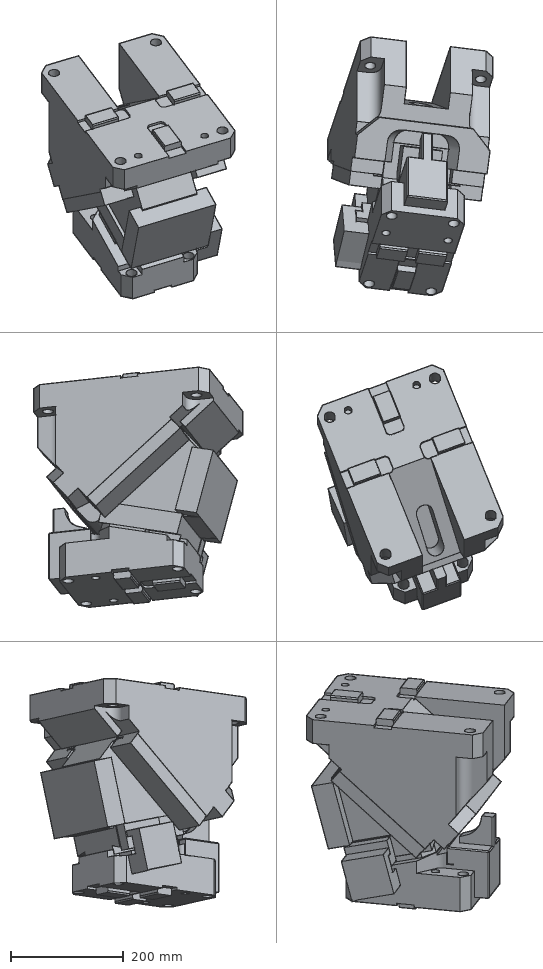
import cadquery as cq
import math


STEEP = math.radians(40)
GENTLE = math.radians(15)
TOTAL_HEIGHT = 372.0
UNLIMITED = 744.0

KEY_LENGTH = 50.5
KEY_RISE = 8.5
KEY_CHAMFER_WIDTH = 1.5
KEY_CHAMFER_HEIGHT = 3.0
KEY_SLOT_DEPTH = 4.5
KEY_SLOT_FILLET = 8.0
SIDE_KEY_WIDTH = 32.0
SIDE_KEY_EDGE_GAP = 14.5
SIDE_SLOT_LENGTH = 90.5
END_KEY_WIDTH = 33.5
END_KEY_EDGE_GAP = 20.0
END_SLOT_LENGTH = 95.2
CORNER_CHAMFER = 15.5

SLIDEWAY_X = 102.5
SLIDEWAY_Z = 138.5
SLIDEWAY_LENGTH = 205.0
CHANNEL_HALF_WIDTH = 62.5
CHANNEL_DEPTH = 59.5
WING_HALF_WIDTH = 78.0
WING_THICKNESS = 3.5

RAMP_X = 106.5
RAMP_Z = 113.5
PAD_THICKNESS = 10.0


def slideway(along, below):
    """XZ point from its position along and below the steep slideway."""
    x = SLIDEWAY_X + along * math.cos(STEEP) + below * math.sin(STEEP)
    z = SLIDEWAY_Z + along * math.sin(STEEP) - below * math.cos(STEEP)
    return x, z


def ramp(along, above):
    """XZ point from its position along and above the gentle ramp."""
    x = RAMP_X + along * math.cos(GENTLE) + above * math.sin(GENTLE)
    z = RAMP_Z - along * math.sin(GENTLE) + above * math.cos(GENTLE)
    return x, z


def box(x_range, y_range, z_range):
    """Axis-aligned box between three pairs of limits."""
    (x0, x1), (y0, y1), (z0, z1) = x_range, y_range, z_range
    return cq.Workplane("XY").box(x1 - x0, y1 - y0, z1 - z0, centered=False).translate((x0, y0, z0))


def prism(points, y_from, y_to):
    """XZ outline extruded between two Y positions."""
    return cq.Workplane("XZ", origin=(0, y_from, 0)).polyline(points).close().extrude(y_from - y_to)


def frame_box(frame, first, second, y_from, y_to):
    """Box aligned with a tilted frame (slideway or ramp)."""
    corners = [(first[0], second[0]), (first[1], second[0]), (first[1], second[1]), (first[0], second[1])]
    return prism([frame(*corner) for corner in corners], y_from, y_to)


def both_sides(shape):
    """The shape together with its mirror image across the XZ plane."""
    return shape.union(shape.mirror("XZ"))


def key_bar(length, width, height):
    """Key along X standing on z = 0, with its two long top edges chamfered."""
    half = width / 2
    top = half - KEY_CHAMFER_WIDTH
    shoulder = height - KEY_CHAMFER_HEIGHT
    outline = [(-half, 0), (half, 0), (half, shoulder), (top, height), (-top, height), (-half, shoulder)]
    return cq.Workplane("YZ").polyline(outline).close().extrude(length)


def key_slot(length, width):
    """Slot cutter along X with its floor on z = 0 and a rounded far end."""
    slot = box((0, length), (-width / 2, width / 2), (0, UNLIMITED))
    return slot.edges("|Z and >X").fillet(KEY_SLOT_FILLET)


def add_keys(body, side_x, end_x, half_width, face_z):
    """Cut key slots into the top face at face_z and stand two side keys and an end key in them."""
    floor = face_z - KEY_SLOT_DEPTH
    height = KEY_RISE + KEY_SLOT_DEPTH
    places = [
        (SIDE_KEY_WIDTH, SIDE_SLOT_LENGTH, SIDE_KEY_EDGE_GAP, 90, (side_x, -half_width, floor)),
        (SIDE_KEY_WIDTH, SIDE_SLOT_LENGTH, SIDE_KEY_EDGE_GAP, -90, (side_x, half_width, floor)),
        (END_KEY_WIDTH, END_SLOT_LENGTH, END_KEY_EDGE_GAP, 180, (end_x, 0, floor)),
    ]
    for width, slot_length, _, turn, corner in places:
        body = body.cut(key_slot(slot_length, width).rotate((0, 0, 0), (0, 0, 1), turn).translate(corner))
    for width, _, edge_gap, turn, corner in places:
        key = key_bar(KEY_LENGTH, width, height).translate((edge_gap, 0, 0))
        body = body.union(key.rotate((0, 0, 0), (0, 0, 1), turn).translate(corner))
    return body


UPPER_LENGTH = 325.0
UPPER_HALF_WIDTH = 119.97
UPPER_TOP = TOTAL_HEIGHT - KEY_RISE
FLANGE_BOTTOM = 318.5
UPPER_FRONT_BOTTOM = SLIDEWAY_Z + SLIDEWAY_X / math.tan(STEEP)
UPPER_BACK_BOTTOM = 313.0
UPPER_SIDE_KEY_X = 180.8

CORNER_POCKET_LENGTH = 45.5
CORNER_POCKET_Y = 79.5
CORNER_POCKET_FILLET = 19.5

BACK_FACE_BELOW = -5.2
BACK_RIB_START = 214.3
BACK_RIB_BELOW = 9.5

FRONT_PLATE_THICKNESS = 25.0
FRONT_PLATE_TOP = -101.5
FRONT_PLATE_BOTTOM = -25.0
FRONT_PLATE_CHAMFER = 35.0
OPENING_TOP = -84.5
OPENING_FILLET = 24.0
OPENING_HALF_WIDTH = 65.0
OPENING_INNER_HALF_WIDTH = 49.5

GIB_THICKNESS = 25.0
GIB_START = 0.7
GIB_SIDE_STEP = 0.5

TOP_SLOT_HALF_WIDTH = 39.8
TOP_SLOT_FLOOR = -130.2
OBROUND_ALONG = 59.5
OBROUND_LENGTH = 100.5
OBROUND_WIDTH = 30.5
OBROUND_DEPTH = 42.0

BOLT_RADIUS = 9.5
BOLT_END_GAP = 25.3
BOLT_Y = 100.0
DOWEL_RADIUS = 6.7
DOWEL_Y = 65.0
DOWEL_DEPTH = 18.5


def upper_body():
    """Wedge-shaped block under a full-size top flange."""
    back_face_end = (UPPER_LENGTH - slideway(0, BACK_FACE_BELOW)[0]) / math.cos(STEEP)
    wedge = [
        (0, UPPER_TOP),
        (0, UPPER_FRONT_BOTTOM),
        slideway(0, 0),
        slideway(SLIDEWAY_LENGTH, 0),
        slideway(SLIDEWAY_LENGTH, BACK_FACE_BELOW),
        slideway(back_face_end, BACK_FACE_BELOW),
        (UPPER_LENGTH, UPPER_TOP),
    ]
    body = prism(wedge, -UPPER_HALF_WIDTH, UPPER_HALF_WIDTH)
    back_rib = [
        (UPPER_LENGTH, UPPER_TOP),
        (UPPER_LENGTH, UPPER_BACK_BOTTOM),
        slideway(BACK_RIB_START, BACK_RIB_BELOW),
        slideway(BACK_RIB_START, BACK_FACE_BELOW),
    ]
    body = body.union(prism(back_rib, -CORNER_POCKET_Y, CORNER_POCKET_Y))
    pocket_y = (CORNER_POCKET_Y, UNLIMITED)
    front_pocket = box((-UNLIMITED, CORNER_POCKET_LENGTH), pocket_y, (0, FLANGE_BOTTOM))
    front_pocket = front_pocket.edges("|Z and >X and <Y").fillet(CORNER_POCKET_FILLET)
    back_pocket = box((UPPER_LENGTH - CORNER_POCKET_LENGTH, UNLIMITED), pocket_y, (0, FLANGE_BOTTOM))
    back_pocket = back_pocket.edges("|Z and <X and <Y").fillet(CORNER_POCKET_FILLET)
    body = body.cut(both_sides(front_pocket.union(back_pocket)))
    flange = box((0, UPPER_LENGTH), (-UPPER_HALF_WIDTH, UPPER_HALF_WIDTH), (FLANGE_BOTTOM, UPPER_TOP))
    trim = box((0, UPPER_LENGTH), (-UPPER_HALF_WIDTH, UPPER_HALF_WIDTH), (0, UPPER_TOP))
    return body.union(flange).intersect(trim.edges("|Z").chamfer(CORNER_CHAMFER))


def front_plane(along):
    """Workplane square to the slideway: local x runs along Y, local y points up towards the top face."""
    x, z = slideway(along, 0)
    uphill = (math.cos(STEEP), 0, math.sin(STEEP))
    return cq.Workplane(cq.Plane(origin=(x, 0, z), xDir=(0, 1, 0), normal=uphill))


def front_plate():
    """Plate across the low end, its upper corners cut off."""
    half = UPPER_HALF_WIDTH
    inner = half - FRONT_PLATE_CHAMFER
    low, high = -FRONT_PLATE_BOTTOM, -FRONT_PLATE_TOP
    shoulder = high - FRONT_PLATE_CHAMFER
    outline = [(-half, low), (half, low), (half, shoulder), (inner, high), (-inner, high), (-half, shoulder)]
    return front_plane(-FRONT_PLATE_THICKNESS).polyline(outline).close().extrude(FRONT_PLATE_THICKNESS)


def front_opening():
    """Tapered, round-cornered opening through the front plate."""

    def section(workplane, half):
        return (
            workplane.moveTo(-half, 0)
            .lineTo(half, 0)
            .lineTo(half, -OPENING_TOP - OPENING_FILLET)
            .radiusArc((half - OPENING_FILLET, -OPENING_TOP), -OPENING_FILLET)
            .lineTo(OPENING_FILLET - half, -OPENING_TOP)
            .radiusArc((-half, -OPENING_TOP - OPENING_FILLET), -OPENING_FILLET)
            .close()
        )

    outer = section(front_plane(-FRONT_PLATE_THICKNESS), OPENING_HALF_WIDTH)
    inner = section(outer.workplane(offset=FRONT_PLATE_THICKNESS), OPENING_INNER_HALF_WIDTH)
    return inner.loft(ruled=True)


def top_slot():
    """Open slot with a sloping floor, and a deep obround pocket in that floor."""
    reach = (-UNLIMITED, UNLIMITED)
    slot = frame_box(
        slideway, reach, (-UNLIMITED, TOP_SLOT_FLOOR), -TOP_SLOT_HALF_WIDTH, TOP_SLOT_HALF_WIDTH
    )
    x, z = slideway(OBROUND_ALONG, TOP_SLOT_FLOOR)
    floor = cq.Plane(
        origin=(x, 0, z),
        xDir=(math.cos(STEEP), 0, math.sin(STEEP)),
        normal=(-math.sin(STEEP), 0, math.cos(STEEP)),
    )
    pocket = cq.Workplane(floor).slot2D(OBROUND_LENGTH, OBROUND_WIDTH).extrude(-OBROUND_DEPTH)
    return slot.union(pocket)


def vertical_hole(x, y, radius, z_from, z_to):
    """Vertical round cutter."""
    return cq.Workplane("XY", origin=(x, y, z_from)).circle(radius).extrude(z_to - z_from)


def make_upper():
    """Upper holder with its slider channel, front plate, gibs, keys and holes."""
    upper = upper_body().union(front_plate())
    upper = upper.cut(front_opening()).cut(top_slot())
    channel = frame_box(
        slideway, (0, UNLIMITED), (-CHANNEL_DEPTH, 0), -CHANNEL_HALF_WIDTH, CHANNEL_HALF_WIDTH
    )
    behind_slideway = frame_box(
        slideway, (BACK_RIB_START, UNLIMITED), (-CHANNEL_DEPTH, UNLIMITED), -UNLIMITED, UNLIMITED
    )
    upper = upper.cut(channel.cut(behind_slideway))
    gib_outer = UPPER_HALF_WIDTH - GIB_SIDE_STEP
    gib = frame_box(slideway, (GIB_START, SLIDEWAY_LENGTH), (0, GIB_THICKNESS), CHANNEL_HALF_WIDTH, gib_outer)
    wing_slot = frame_box(
        slideway, (0, SLIDEWAY_LENGTH), (0, WING_THICKNESS), CHANNEL_HALF_WIDTH, WING_HALF_WIDTH
    )
    upper = upper.union(both_sides(gib.cut(wing_slot)))
    for x in (BOLT_END_GAP, UPPER_LENGTH - BOLT_END_GAP):
        bolt = vertical_hole(x, BOLT_Y, BOLT_RADIUS, FLANGE_BOTTOM, UPPER_TOP)
        upper = upper.cut(both_sides(bolt))
    dowel_x = UPPER_LENGTH - BOLT_END_GAP
    dowel = vertical_hole(dowel_x, DOWEL_Y, DOWEL_RADIUS, UPPER_TOP - DOWEL_DEPTH, UPPER_TOP)
    upper = upper.cut(both_sides(dowel))
    return add_keys(upper, UPPER_SIDE_KEY_X, UPPER_LENGTH, UPPER_HALF_WIDTH, UPPER_TOP)


CORE_START = 10.5
CORE_HALF_WIDTH = 60.0
CORE_BOTTOM = 6.5
WEB_HALF_WIDTH = 53.5
WEB_BOTTOM = 51.7
WING_START = 22.5
SLAB_LENGTH = 150.5
SLAB_HEIGHT = 39.0
HEAD_START = 141.7
HEAD_END = 182.3
HEAD_TOP = 159.2
HEAD_HALF_WIDTH = 76.0
NOSE_HALF_WIDTH = 35.5
NOSE_TOP = -55.8
NOSE_RADIUS = 17.5
NOSE_CENTER_ALONG = -7.5
NOSE_CENTER_BELOW = -10.8
PAD_FRONT_HALF_WIDTH = 39.5
PAD_CHAMFER_LENGTH = 22.0
PAD_WIDE_END = 90.5
PAD_SIDE_STEP = 0.7
PAD_FACE_STEP = 0.5
PAD_ROOF_RISE = 15.5

HOOK_START = 69.0
HOOK_ARM_INNER_Y = 62.5
HOOK_ARM_OUTER_Y = 83.0
HOOK_FLANGE_LENGTH = 21.0
HOOK_FLANGE_Y = 95.2
HOOK_FLANGE_TOP = 13.8
HOOK_BOTTOM = -6.5


def slider_nose():
    """Bar at the low end with a fully rounded lower end."""
    front = NOSE_CENTER_ALONG - NOSE_RADIUS
    shank = frame_box(
        slideway, (front, CORE_START), (NOSE_TOP, NOSE_CENTER_BELOW), -NOSE_HALF_WIDTH, NOSE_HALF_WIDTH
    )
    x, z = slideway(NOSE_CENTER_ALONG, NOSE_CENTER_BELOW)
    tip = cq.Workplane("XZ", origin=(x, NOSE_HALF_WIDTH, z)).circle(NOSE_RADIUS).extrude(2 * NOSE_HALF_WIDTH)
    return shank.union(tip)


def ramp_workplane(along):
    """Workplane square to the ramp: local x runs along Y, local y points up off the ramp."""
    x, z = ramp(along, 0)
    uphill = (-math.cos(GENTLE), 0, math.sin(GENTLE))
    return cq.Workplane(cq.Plane(origin=(x, 0, z), xDir=(0, -1, 0), normal=uphill))


def slider_pad():
    """Sliding pad with a roof-shaped top and a wide, corner-chamfered front half."""
    roof = CORE_HALF_WIDTH
    section = [(-roof, -PAD_THICKNESS), (roof, -PAD_THICKNESS), (roof, 0), (0, PAD_ROOF_RISE), (-roof, 0)]
    half = CORE_HALF_WIDTH - PAD_SIDE_STEP
    pad = ramp_workplane(SLAB_LENGTH).polyline(section).close().extrude(SLAB_LENGTH - PAD_FACE_STEP)
    x, z = ramp(0, 0)
    surface = cq.Plane(
        origin=(x, 0, z),
        xDir=(math.cos(GENTLE), 0, -math.sin(GENTLE)),
        normal=(math.sin(GENTLE), 0, math.cos(GENTLE)),
    )
    plan = [
        (0, 0),
        (0, PAD_FRONT_HALF_WIDTH),
        (PAD_CHAMFER_LENGTH, half),
        (PAD_WIDE_END, half),
        (PAD_WIDE_END, PAD_FRONT_HALF_WIDTH),
        (SLAB_LENGTH, PAD_FRONT_HALF_WIDTH),
        (SLAB_LENGTH, 0),
    ]
    outline = cq.Workplane(surface).polyline(plan).close().extrude(SLAB_HEIGHT, both=True)
    return pad.intersect(both_sides(outline))


def slab_roof_recess():
    """Roof-shaped recess under the slab that the pad fills."""
    half = CORE_HALF_WIDTH
    return (
        ramp_workplane(SLAB_LENGTH)
        .polyline([(-half, 0), (half, 0), (0, PAD_ROOF_RISE)])
        .close()
        .extrude(SLAB_LENGTH)
    )


def return_hook():
    """Arm hanging under the head on the +Y side, with a wider flange at its lower front corner."""
    flange_end = HOOK_START + HOOK_FLANGE_LENGTH
    arm = frame_box(
        ramp, (HOOK_START, SLAB_LENGTH), (HOOK_BOTTOM, SLAB_HEIGHT), HOOK_ARM_INNER_Y, HOOK_ARM_OUTER_Y
    )
    flange = frame_box(
        ramp, (HOOK_START, flange_end), (HOOK_BOTTOM, HOOK_FLANGE_TOP), HOOK_ARM_INNER_Y, HOOK_FLANGE_Y
    )
    return arm.union(flange)


def make_slider():
    """Slider: guided core with wings, slab, head, nose, pad and return hook."""
    core = frame_box(
        slideway,
        (CORE_START, SLIDEWAY_LENGTH),
        (-CHANNEL_DEPTH, CORE_BOTTOM),
        -CORE_HALF_WIDTH,
        CORE_HALF_WIDTH,
    )
    web_outline = [
        slideway(CORE_START, 0),
        slideway(SLIDEWAY_LENGTH, 0),
        slideway(SLIDEWAY_LENGTH, WEB_BOTTOM),
        ramp(HEAD_END, SLAB_HEIGHT),
        ramp(0, SLAB_HEIGHT / 2),
        slideway(CORE_START, CORE_BOTTOM),
    ]
    web = prism(web_outline, -WEB_HALF_WIDTH, WEB_HALF_WIDTH)
    wings = frame_box(
        slideway, (WING_START, SLIDEWAY_LENGTH), (0, WING_THICKNESS), -WING_HALF_WIDTH, WING_HALF_WIDTH
    )
    slab = frame_box(ramp, (0, SLAB_LENGTH), (0, SLAB_HEIGHT), -CORE_HALF_WIDTH, CORE_HALF_WIDTH)
    head = frame_box(
        ramp, (HEAD_START, HEAD_END), (SLAB_HEIGHT, HEAD_TOP), -HEAD_HALF_WIDTH, HEAD_HALF_WIDTH
    )
    slider = core.union(web).union(wings).union(slab).cut(slab_roof_recess())
    for part in (slider_pad(), head, slider_nose(), return_hook()):
        slider = slider.union(part)
    return slider


BASE_START = 34.5
BASE_END = 265.0
BASE_HALF_WIDTH = 75.0
BASE_BOTTOM = KEY_RISE
BASE_STEP = 73.5
BASE_SIDE_KEY_X = 151.0

RAMP_NOSE_X = 102.3
RAMP_NOSE_HALF_WIDTH = 41.3
RAMP_SIDE_X = 131.0
GUIDE_HALF_WIDTH = 37.0
NECK_FILLET_X = 92.0
NECK_TOP = -15.5
STOP_HALF_WIDTH = 41.0
STOP_TOP = -1.5
END_POCKET_X = 237.7
END_POCKET_FLOOR = 57.5

BASE_BOLT_RADIUS = 9.5
BASE_DOWEL_RADIUS = 7.5
BASE_HOLE_Y = 56.0
FRONT_BOLT_X = 50.0
BASE_DOWEL_X = 100.8
END_BOLT_X = 252.5

GUIDE_START = 7.0
GUIDE_END = 85.0
GUIDE_BOTTOM = 23.8
GUIDE_TOP = 113.5
GUIDE_CHAMFER = 2.2
GUIDE_SEAT_X = 73.0
GUIDE_SEAT_Z = 82.2
GUIDE_GROOVE = 1.0
RIB_HALF_WIDTH = 9.3
RIB_TOP = 168.5
RIB_TOP_END = 29.5
RIB_TOP_FILLET = 3.5
RIB_HOLLOW_MIDDLE = (40.5, 140.0)
RIB_HOLLOW_END = (51.5, 131.7)
RIB_END = 69.2
RIB_END_TOP = 125.5

KEEPER_START = HOOK_START
KEEPER_FLAT_LENGTH = 68.0
KEEPER_END = 148.8
KEEPER_OUTER_Y = UPPER_HALF_WIDTH
KEEPER_TOP = 25.5
KEEPER_BOTTOM = -49.5
KEEPER_END_BOTTOM = -51.5
KEEPER_LIP_Y = 84.0
KEEPER_CHANNEL_Y = 96.5
KEEPER_CHANNEL_BOTTOM = -17.0
KEEPER_LIP_BOTTOM = 15.0


def below_ramp(top):
    """All the space under a plane parallel to the ramp."""
    return frame_box(ramp, (-UNLIMITED, UNLIMITED), (-UNLIMITED, top), -UNLIMITED, UNLIMITED)


def ramp_block():
    """Raised block with a sloping top and a pointed front, joined to the guide by a narrow neck."""
    plan = [
        (RAMP_NOSE_X, -RAMP_NOSE_HALF_WIDTH),
        (RAMP_SIDE_X, -BASE_HALF_WIDTH),
        (BASE_END, -BASE_HALF_WIDTH),
        (BASE_END, BASE_HALF_WIDTH),
        (RAMP_SIDE_X, BASE_HALF_WIDTH),
        (RAMP_NOSE_X, RAMP_NOSE_HALF_WIDTH),
    ]
    block = cq.Workplane("XY", origin=(0, 0, BASE_BOTTOM)).polyline(plan).close().extrude(UNLIMITED)
    neck_start = GUIDE_END - GUIDE_CHAMFER
    fillet_middle_x = (NECK_FILLET_X + RAMP_NOSE_X) / 2
    fillet_middle_y = GUIDE_HALF_WIDTH + (RAMP_NOSE_HALF_WIDTH - GUIDE_HALF_WIDTH) / 4
    neck = (
        cq.Workplane("XY", origin=(0, 0, BASE_BOTTOM))
        .moveTo(neck_start, -GUIDE_HALF_WIDTH)
        .lineTo(NECK_FILLET_X, -GUIDE_HALF_WIDTH)
        .threePointArc((fillet_middle_x, -fillet_middle_y), (RAMP_NOSE_X, -RAMP_NOSE_HALF_WIDTH))
        .lineTo(RAMP_NOSE_X, RAMP_NOSE_HALF_WIDTH)
        .threePointArc((fillet_middle_x, fillet_middle_y), (NECK_FILLET_X, GUIDE_HALF_WIDTH))
        .lineTo(neck_start, GUIDE_HALF_WIDTH)
        .close()
        .extrude(UNLIMITED)
    )
    return block.intersect(below_ramp(-PAD_THICKNESS)).union(neck.intersect(below_ramp(NECK_TOP)))


def guide_block():
    """Chamfered block at the front with a thin, hollow-backed rib on top."""
    block = box((GUIDE_START, GUIDE_END), (-GUIDE_HALF_WIDTH, GUIDE_HALF_WIDTH), (GUIDE_BOTTOM, GUIDE_TOP))
    block = block.faces("<X or >Z").edges().chamfer(GUIDE_CHAMFER)
    rib_foot = GUIDE_TOP - 2 * GUIDE_CHAMFER
    rib = (
        cq.Workplane("XZ", origin=(0, RIB_HALF_WIDTH, 0))
        .moveTo(GUIDE_START, rib_foot)
        .lineTo(GUIDE_START, RIB_TOP)
        .lineTo(RIB_TOP_END - RIB_TOP_FILLET, RIB_TOP)
        .radiusArc((RIB_TOP_END, RIB_TOP - RIB_TOP_FILLET), RIB_TOP_FILLET)
        .threePointArc(RIB_HOLLOW_MIDDLE, RIB_HOLLOW_END)
        .lineTo(RIB_END, RIB_END_TOP)
        .lineTo(RIB_END, rib_foot)
        .close()
        .extrude(2 * RIB_HALF_WIDTH)
    )
    return block.union(rib.faces("<X").edges("|Z").chamfer(GUIDE_CHAMFER))


def guide_groove():
    """L-shaped groove marking the seat of the guide block on both sides of the neck."""
    depth = (GUIDE_HALF_WIDTH - GUIDE_GROOVE, GUIDE_HALF_WIDTH)
    across = (GUIDE_END, GUIDE_END + GUIDE_GROOVE)
    upright = box(across, depth, (GUIDE_SEAT_Z, GUIDE_TOP))
    level = box((GUIDE_SEAT_X, across[1]), depth, (GUIDE_SEAT_Z - GUIDE_GROOVE, GUIDE_SEAT_Z))
    return both_sides(upright.union(level))


def keeper():
    """Bracket with a C-shaped channel that runs parallel to the ramp."""
    outline = [
        ramp(KEEPER_START, KEEPER_TOP),
        ramp(KEEPER_START, KEEPER_BOTTOM),
        ramp(KEEPER_START + KEEPER_FLAT_LENGTH, KEEPER_BOTTOM),
        ramp(KEEPER_END, KEEPER_END_BOTTOM),
        ramp(KEEPER_END, KEEPER_TOP),
    ]
    bracket = prism(outline, BASE_HALF_WIDTH, KEEPER_OUTER_Y)
    reach = (0, UNLIMITED)
    channel = frame_box(
        ramp, reach, (KEEPER_CHANNEL_BOTTOM, KEEPER_LIP_BOTTOM), BASE_HALF_WIDTH, KEEPER_CHANNEL_Y
    )
    mouth = frame_box(ramp, reach, (0, UNLIMITED), BASE_HALF_WIDTH, KEEPER_LIP_Y)
    return bracket.cut(channel).cut(mouth)


def make_base():
    """Base plate with the ramp block, guide block, end stop, keeper, keys and holes."""
    base = box((BASE_START, BASE_END), (-BASE_HALF_WIDTH, BASE_HALF_WIDTH), (BASE_BOTTOM, BASE_STEP))
    base = base.intersect(below_ramp(-PAD_THICKNESS)).union(ramp_block())
    pocket = box((END_POCKET_X, UNLIMITED), (STOP_HALF_WIDTH, UNLIMITED), (END_POCKET_FLOOR, UNLIMITED))
    base = base.cut(both_sides(pocket))
    trim = box((BASE_START, BASE_END), (-BASE_HALF_WIDTH, BASE_HALF_WIDTH), (0, TOTAL_HEIGHT))
    base = base.intersect(trim.edges("|Z").chamfer(CORNER_CHAMFER))
    stop_bottom = -2 * PAD_THICKNESS
    stop = frame_box(
        ramp, (SLAB_LENGTH, UNLIMITED), (stop_bottom, STOP_TOP), -STOP_HALF_WIDTH, STOP_HALF_WIDTH
    )
    base = base.union(stop.intersect(trim)).union(guide_block()).cut(guide_groove()).union(keeper())
    holes = [
        (FRONT_BOLT_X, BASE_BOLT_RADIUS),
        (BASE_DOWEL_X, BASE_DOWEL_RADIUS),
        (END_BOLT_X, BASE_BOLT_RADIUS),
    ]
    for x, radius in holes:
        base = base.cut(both_sides(vertical_hole(x, BASE_HOLE_Y, radius, 0, BASE_STEP)))
    upside_down = base.mirror("XY")
    return add_keys(upside_down, BASE_SIDE_KEY_X, BASE_END, BASE_HALF_WIDTH, -BASE_BOTTOM).mirror("XY")


upper = make_upper()
slider = make_slider()
base = make_base()
result = cq.Compound.makeCompound([upper.solids().val(), slider.solids().val(), base.solids().val()])